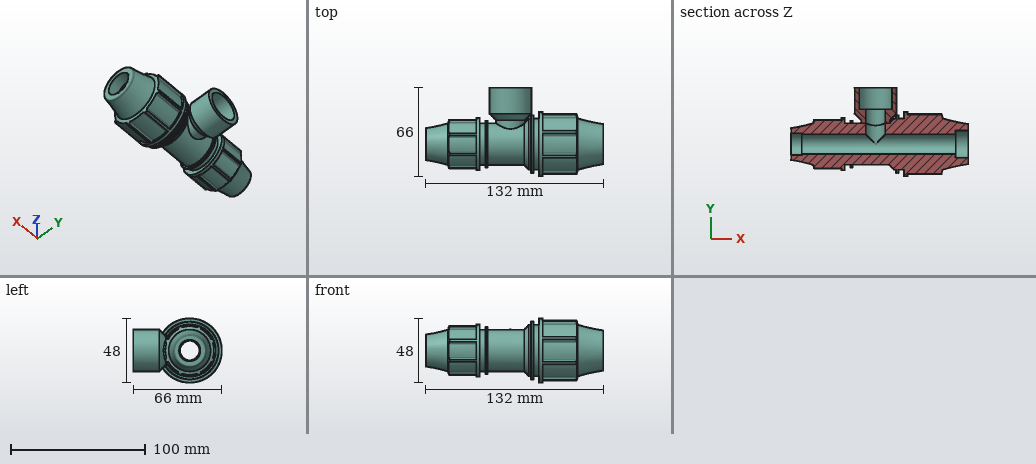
import cadquery as cq
import math

SMALL_END_X = -63.0
LARGE_END_X = 69.0
RUN_BORE = 14.4
SMALL_TUBE = 16.0
LARGE_TUBE = 20.0

SMALL_FLANGE = 39.0
LARGE_FLANGE = 48.0
SMALL_NOSE_LENGTH = 16.5
LARGE_NOSE_LENGTH = 19.0
SMALL_NUT_LENGTH = 40.3
LARGE_NUT_LENGTH = 47.9
FLANGE_LENGTH = 2.75
MOUTH_FILLET = 0.6
NOSE_HOLLOW = 0.35
RIB_COUNT = 8
RIB_END_LENGTH = 1.2

BARREL_RATIO = 0.8
COLLAR_RATIO = 0.9
GRIP_RATIO = 0.925
RIB_TIP_RATIO = 0.043
RIB_FOOT_RATIO = 0.087
RIB_FILLET_RATIO = 0.009
MOUTH_RATIO = 1.5

CONE_X = 10.1
SMALL_COLLAR_X = -18.7
SMALL_COLLAR_LENGTH = 1.6
LARGE_COLLAR_X = 15.2
LARGE_COLLAR_LENGTH = 1.9
COLLAR_CHAMFER = 0.3

BRANCH_DIAMETER = 31.35
BRANCH_BORE = 24.12
BRANCH_BORE_DEPTH = 16.0
BRANCH_SOCKET_LENGTH = 19.3
BRANCH_END_Y = 42.0
NECK_DIAMETER = 21.64

small_barrel = SMALL_FLANGE * BARREL_RATIO
large_barrel = LARGE_FLANGE * BARREL_RATIO


def cylinder_x(diameter, start, length):
    return cq.Workplane("YZ", origin=(start, 0, 0)).circle(diameter / 2).extrude(length)


def cylinder_y(diameter, start, end):
    return cq.Workplane("XZ", origin=(0, start, 0)).circle(diameter / 2).extrude(start - end)


def polar_point(radius, angle):
    """Point in the YZ plane, with the angle measured from +Z."""
    return (radius * math.sin(angle), radius * math.cos(angle))


def make_pocket(flange, length):
    """Cutter for the recess between two neighbouring ribs, centred on +Z and starting at X = 0."""
    grip_radius = flange * GRIP_RATIO / 2
    rim_radius = flange / 2
    half_pitch = math.pi / RIB_COUNT
    foot_angle = half_pitch - math.asin(flange * RIB_FOOT_RATIO / 2 / grip_radius)
    tip_angle = half_pitch - math.asin(flange * RIB_TIP_RATIO / 2 / rim_radius)
    foot_y, foot_z = polar_point(grip_radius, foot_angle)
    tip_y, tip_z = polar_point(rim_radius, tip_angle)
    outer_y = 2 * tip_y - foot_y
    outer_z = 2 * tip_z - foot_z
    outer_radius = math.hypot(outer_y, outer_z)
    return (
        cq.Workplane("YZ")
        .moveTo(-foot_y, foot_z)
        .threePointArc((0, grip_radius), (foot_y, foot_z))
        .lineTo(outer_y, outer_z)
        .threePointArc((0, outer_radius), (-outer_y, outer_z))
        .close()
        .extrude(length)
        .edges("|X").edges("<Z").fillet(flange * RIB_FILLET_RATIO)
    )


def make_nut(flange, tube, nose_length, length):
    """Ribbed nut without its bore: mouth at X = 0, flange at X = length."""
    rim_radius = flange / 2
    barrel_radius = flange * BARREL_RATIO / 2
    mouth_radius = tube * MOUTH_RATIO / 2
    nose_middle = (nose_length / 2, (mouth_radius + barrel_radius) / 2 - NOSE_HOLLOW)
    nut = (
        cq.Workplane("XY")
        .lineTo(0, mouth_radius)
        .threePointArc(nose_middle, (nose_length, barrel_radius))
        .lineTo(nose_length + RIB_END_LENGTH, rim_radius)
        .lineTo(length, rim_radius)
        .lineTo(length, 0)
        .close()
        .revolve(360, (0, 0, 0), (1, 0, 0))
        .faces("<X").edges().fillet(MOUTH_FILLET)
    )
    pocket = make_pocket(flange, length - FLANGE_LENGTH - nose_length).translate((nose_length, 0, 0))
    for index in range(RIB_COUNT):
        nut = nut.cut(pocket.rotate((0, 0, 0), (1, 0, 0), index * 360 / RIB_COUNT))
    return nut


def make_collar(flange, start, length):
    collar = cylinder_x(flange * COLLAR_RATIO, start, length)
    return collar.edges().chamfer(COLLAR_CHAMFER)


def make_plain_run():
    """Solid stepped barrel between the two flanges, with a 45 degree cone and two collars."""
    start = SMALL_END_X + SMALL_NUT_LENGTH
    end = LARGE_END_X - LARGE_NUT_LENGTH
    cone_end = CONE_X + (large_barrel - small_barrel) / 2
    barrel = (
        cq.Workplane("XY")
        .moveTo(start, 0)
        .lineTo(start, small_barrel / 2)
        .lineTo(CONE_X, small_barrel / 2)
        .lineTo(cone_end, large_barrel / 2)
        .lineTo(end, large_barrel / 2)
        .lineTo(end, 0)
        .close()
        .revolve(360, (0, 0, 0), (1, 0, 0))
    )
    small_collar = make_collar(SMALL_FLANGE, SMALL_COLLAR_X, SMALL_COLLAR_LENGTH)
    large_collar = make_collar(LARGE_FLANGE, LARGE_COLLAR_X, LARGE_COLLAR_LENGTH)
    return barrel.union(small_collar).union(large_collar)


def make_run_bore():
    """Through bore with a tube socket half a nose deep at each mouth."""
    small_depth = SMALL_NOSE_LENGTH / 2
    large_depth = LARGE_NOSE_LENGTH / 2
    bore = cylinder_x(RUN_BORE, SMALL_END_X, LARGE_END_X - SMALL_END_X)
    small_socket = cylinder_x(SMALL_TUBE, SMALL_END_X, small_depth)
    large_socket = cylinder_x(LARGE_TUBE, LARGE_END_X - large_depth, large_depth)
    return bore.union(small_socket).union(large_socket)


def make_run():
    """Run body: plain barrel and both nut ends in one solid, bored through and opened to the branch."""
    small_nut = make_nut(SMALL_FLANGE, SMALL_TUBE, SMALL_NOSE_LENGTH, SMALL_NUT_LENGTH)
    large_nut = make_nut(LARGE_FLANGE, LARGE_TUBE, LARGE_NOSE_LENGTH, LARGE_NUT_LENGTH)
    return (
        make_plain_run()
        .union(small_nut.translate((SMALL_END_X, 0, 0)))
        .union(large_nut.mirror("YZ").translate((LARGE_END_X, 0, 0)))
        .cut(make_run_bore())
        .cut(cylinder_y(RUN_BORE, 0, small_barrel / 2))
    )


def make_branch():
    """Branch body: bored socket, 45 degree cone and neck that ends in a saddle on the run."""
    cone_length = (BRANCH_DIAMETER - NECK_DIAMETER) / 2
    socket_y = BRANCH_END_Y - BRANCH_SOCKET_LENGTH
    return (
        cq.Workplane("XY")
        .lineTo(NECK_DIAMETER / 2, 0)
        .lineTo(NECK_DIAMETER / 2, socket_y - cone_length)
        .lineTo(BRANCH_DIAMETER / 2, socket_y)
        .lineTo(BRANCH_DIAMETER / 2, BRANCH_END_Y)
        .lineTo(0, BRANCH_END_Y)
        .close()
        .revolve(360, (0, 0, 0), (0, 1, 0))
        .cut(make_plain_run())
        .cut(cylinder_y(RUN_BORE, 0, BRANCH_END_Y))
        .cut(cylinder_y(BRANCH_BORE, BRANCH_END_Y - BRANCH_BORE_DEPTH, BRANCH_END_Y))
    )


run = make_run()
branch = make_branch()

result = cq.Compound.makeCompound([run.solids().val(), branch.solids().val()])